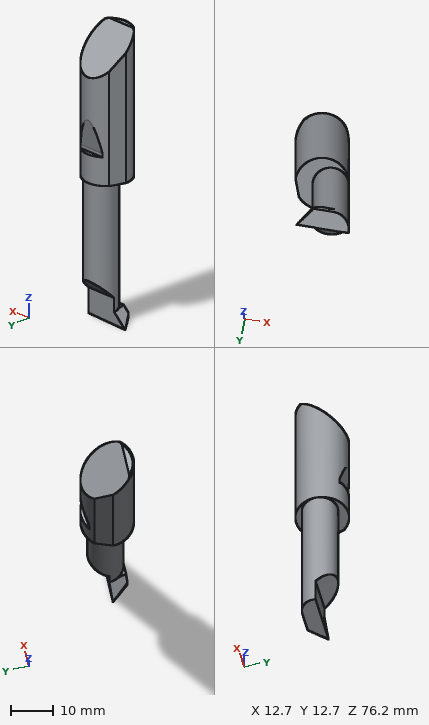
import cadquery as cq
import math

length = 76.2
shank_radius = 6.36
shank_bottom = 38.1
top_chamfer = 0.4
slant_start_y = -4.4
side_flat_end_y = 4.1

notch_bottom = 45.5
notch_floor_top = 46.5
notch_top = 54.3
notch_depth = 1.2

neck_radius = 4.305
neck_x = shank_radius - neck_radius
relief_bottom = 7.1

tip_x = -6.1
head_height = 3.6
flank_run = 3.9
flank_shift = 1.1
front_corner_x = -2.8
clearance_slope = 0.2
end_angle = 1.6

cutter_width = 4 * shank_radius


def side_prism(points):
    """Extrude a (y, z) outline across the full width in X."""
    return cq.Workplane("YZ").polyline(points).close().extrude(cutter_width / 2, both=True)


def make_shank():
    shank = (
        cq.Workplane("XY")
        .workplane(offset=shank_bottom)
        .circle(shank_radius)
        .extrude(length - shank_bottom)
        .faces(">Z")
        .chamfer(top_chamfer)
    )
    far_y = 2 * shank_radius
    slant_drop = far_y - slant_start_y
    shank = shank.cut(side_prism([
        (slant_start_y, length),
        (far_y, length),
        (far_y, length - slant_drop),
    ]))
    flat_end_x = -math.sqrt(shank_radius**2 - side_flat_end_y**2)
    half_angle = math.asin(side_flat_end_y / shank_radius) / 2
    arc_middle = (-shank_radius * math.cos(half_angle), shank_radius * math.sin(half_angle))
    segment = (
        cq.Workplane("XY")
        .moveTo(-shank_radius, 0)
        .threePointArc(arc_middle, (flat_end_x, side_flat_end_y))
        .close()
        .extrude(length)
    )
    shank = shank.cut(segment)
    floor_y = shank_radius - notch_depth
    return shank.cut(side_prism([
        (shank_radius, notch_bottom),
        (floor_y, notch_bottom),
        (floor_y, notch_floor_top),
        (shank_radius, notch_top),
    ]))


def make_neck():
    neck = cq.Workplane("XY").center(neck_x, 0).circle(neck_radius).extrude(shank_bottom)
    far_y = 2 * neck_radius
    return neck.cut(side_prism([
        (0, 0),
        (0, relief_bottom),
        (far_y, relief_bottom + far_y),
        (far_y, 0),
    ]))


def make_head():
    def profile(plane, shift):
        return plane.polyline([
            (tip_x + shift, 0),
            (tip_x + flank_run + shift, head_height),
            (neck_x, head_height),
            (neck_x, 0),
        ]).close()

    back = profile(cq.Workplane("XZ"), 0)
    head = profile(back.workplane(offset=neck_radius), flank_shift).loft(ruled=True)
    plan = (
        cq.Workplane("XY")
        .polyline([(tip_x, 0), (front_corner_x, -neck_radius), (neck_x, -neck_radius), (neck_x, 0)])
        .close()
        .extrude(head_height)
    )
    return head.intersect(plan)


def make_underside_cutter():
    reach = 2 * neck_radius
    cutter = side_prism([
        (-reach, -reach),
        (-reach, clearance_slope * reach),
        (reach, -clearance_slope * reach),
        (reach, -reach),
    ])
    return cutter.rotate((tip_x, 0, 0), (tip_x, 1, 0), -end_angle)


tool_end = make_neck().union(make_head()).cut(make_underside_cutter())
result = make_shank().union(tool_end)